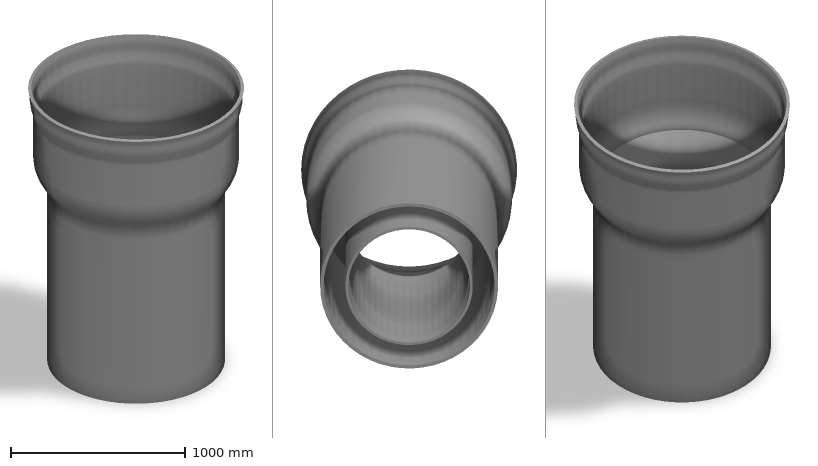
import cadquery as cq
import math

height = 1800.0
wall = 20.0

pipe_radius = 1020.0 / 2
socket_radius = 1180.0 / 2
groove_radius = 1220.0 / 2
rim_radius = 620.0

neck_bottom_z = 1102.0
neck_lower_bend = 195.0
neck_upper_bend = 218.0
neck_angle = math.radians(32)

flare_angle = math.radians(15.5)
groove_bottom_z = 1625.0
groove_lower_bend = 67.0
groove_upper_bend = 120.0
lip_bottom_z = 1751.0
lip_bend = 74.0

spout_outer_radius = 730.0 / 2
spout_bore_radius = 698.0 / 2
funnel_wall = spout_outer_radius - spout_bore_radius
funnel_angle = math.radians(45)
funnel_top_radius = 508.0
funnel_bend = 110.0


def step_out(start_radius, end_radius, lower_bend, upper_bend, start_z, angle):
    """Return the two tangent bends of a conical step.

    A bend is (centre radius, centre z, outer bend radius, side, first and last tilt).
    Side is +1 when the bend centre lies outside the wall and -1 when it lies inside.
    """
    bends_width = (lower_bend + upper_bend) * (1 - math.cos(angle))
    cone_height = (end_radius - start_radius - bends_width) / math.tan(angle)
    end_z = start_z + (lower_bend + upper_bend) * math.sin(angle) + cone_height
    lower = (start_radius + lower_bend, start_z, lower_bend, 1, 0, angle)
    upper = (end_radius - upper_bend, end_z, upper_bend, -1, angle, 0)
    return [lower, upper]


def bend_point(bend, tilt, inset):
    """Point on a bend where the wall leans outward by tilt, at a depth under the outer face."""
    centre_r, centre_z, radius, side, _, _ = bend
    reach = radius + side * inset
    return (centre_r - side * reach * math.cos(tilt), centre_z + side * reach * math.sin(tilt))


def bend_arc(bend, inset):
    """Start, middle and end points of a bend, going up."""
    first, last = bend[4:]
    return [bend_point(bend, tilt, inset) for tilt in (first, (first + last) / 2, last)]


neck_bends = step_out(
    pipe_radius, socket_radius, neck_lower_bend, neck_upper_bend, neck_bottom_z, neck_angle
)
groove_bends = step_out(
    socket_radius, groove_radius, groove_lower_bend, groove_upper_bend, groove_bottom_z, flare_angle
)
mouth_bend = (groove_radius + lip_bend, lip_bottom_z, lip_bend, 1, 0, flare_angle)
wall_bends = neck_bends + groove_bends + [mouth_bend]


def make_socket_pipe():
    """Thin-walled pipe with a widened socket, a seal groove and a flared lip."""
    rim_inner_radius = rim_radius - wall * math.cos(flare_angle)
    rim_outer_z = height - wall * math.sin(flare_angle)
    profile = cq.Workplane("XZ").moveTo(pipe_radius, 0)
    for bend in wall_bends:
        start, middle, end = bend_arc(bend, 0)
        profile = profile.lineTo(*start).threePointArc(middle, end)
    profile = profile.lineTo(rim_radius, rim_outer_z).lineTo(rim_inner_radius, height)
    for bend in reversed(wall_bends):
        start, middle, end = bend_arc(bend, wall)
        profile = profile.lineTo(*end).threePointArc(middle, start)
    profile = profile.lineTo(pipe_radius - wall, 0).close()
    return profile.revolve(360, (0, 0, 0), (0, 1, 0))


def make_funnel():
    """Conical funnel with a straight spout; its top edge rests on the inside of the neck."""
    neck_centre_r, _, neck_bend = neck_bends[0][:3]
    rest_tilt = math.acos((neck_centre_r - funnel_top_radius) / (neck_bend + wall))
    _, rest_z = bend_point(neck_bends[0], rest_tilt, wall)

    top_inner_radius = funnel_top_radius - funnel_wall * math.cos(funnel_angle)
    top_inner_z = rest_z + funnel_wall * math.sin(funnel_angle)

    cone_foot_radius = spout_bore_radius + funnel_bend * (1 - math.cos(funnel_angle))
    cone_height = (top_inner_radius - cone_foot_radius) / math.tan(funnel_angle)
    bend_z = top_inner_z - cone_height - funnel_bend * math.sin(funnel_angle)
    outer_bend = funnel_bend - funnel_wall
    bend = (spout_bore_radius + funnel_bend, bend_z, outer_bend, 1, 0, funnel_angle)

    outer_start, outer_middle, outer_end = bend_arc(bend, 0)
    inner_start, inner_middle, inner_end = bend_arc(bend, funnel_wall)
    profile = (
        cq.Workplane("XZ")
        .moveTo(spout_outer_radius, 0)
        .lineTo(*outer_start)
        .threePointArc(outer_middle, outer_end)
        .lineTo(funnel_top_radius, rest_z)
        .lineTo(top_inner_radius, top_inner_z)
        .lineTo(*inner_end)
        .threePointArc(inner_middle, inner_start)
        .lineTo(spout_bore_radius, 0)
        .close()
    )
    return profile.revolve(360, (0, 0, 0), (0, 1, 0))


socket_pipe = make_socket_pipe()
funnel = make_funnel()
result = cq.Compound.makeCompound([socket_pipe.val(), funnel.val()])